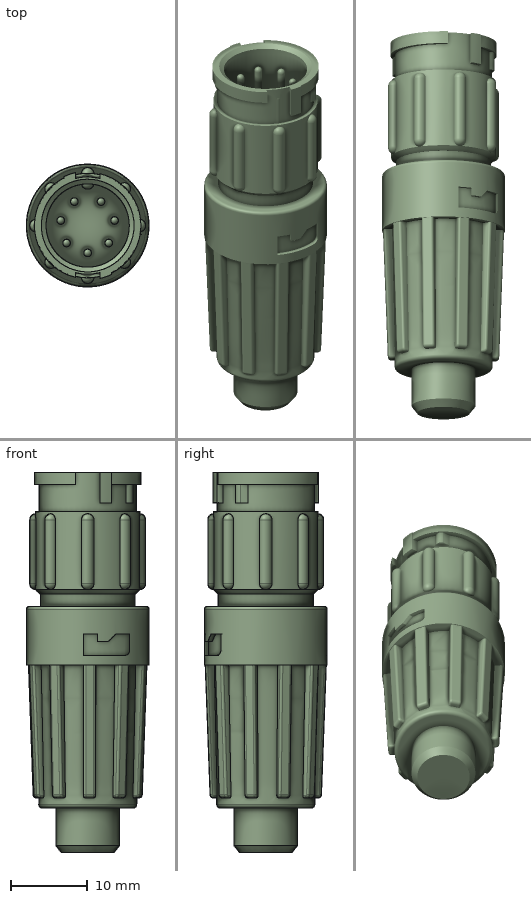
import cadquery as cq
import math


FRONT_ANGLE = -90

TAIL_CHAMFER_TOP = 0.95
GRIP_BOTTOM = 5.8
GRIP_RIB_BOTTOM = 7.15
COLLAR_BOTTOM = 24.45
COLLAR_TOP = 32.15
RING_BOTTOM = 33.75
RING_CHAMFER_TOP = 34.35
RING_TOP = 44.5
LUG_BOTTOM = 45.65
RIM_BOTTOM = 48.0
TOTAL_HEIGHT = 49.6

TAIL_RADIUS = 4.15
TAIL_END_RADIUS = 3.4
GRIP_BOTTOM_RADIUS = 6.4
GRIP_TOP_RADIUS = 6.8
GRIP_BOTTOM_FILLET = 0.5
COLLAR_RADIUS = 16.0 / 2
COLLAR_FILLET = 0.4
LOWER_NECK_RADIUS = 6.2
RING_RADIUS = 13.65 / 2
UPPER_NECK_RADIUS = 6.35
RIM_RADIUS = 6.95

SOCKET_RADIUS = 10.85 / 2
SOCKET_MOUTH_RADIUS = 6.05
SOCKET_MOUTH_DEPTH = 0.45
SOCKET_FLOOR = 41.85
PIN_RADIUS = 0.5
PIN_CIRCLE_RADIUS = 3.55
PIN_PITCH_ANGLE = 50.3
PIN_COUNT = 7
PIN_TOP = 47.55
KEY_RADIUS = 1.65 / 2
KEY_CENTRE_Y = 5.55
KEY_TOP = 48.9

RIM_GAP_HALF_WIDTH = 1.6
LUG_OUTER_X = 3.1
LUG_RADIUS = 7.1
STOP_FLAT_X = 5.9
STOP_FLAT_Y = 3.3
STOP_END_X = 4.95
STOP_END_Y = 3.9
STOP_ROUND_RADIUS = 0.8

RING_RIB_COUNT = 8
RING_RIB_RADIUS = 1.65 / 2
RING_RIB_CENTRE_RADIUS = 6.75
RING_RIB_LOW = 35.1
RING_RIB_HIGH = 43.4

GRIP_RIB_COUNT = 10
GRIP_RIB_PHASE = 2.0
GRIP_RIB_WIDTH = 1.6
GRIP_RIB_INNER_RADIUS = 4.95
GRIP_RIB_BOTTOM_RADIUS = 7.25
GRIP_RIB_TOP_RADIUS = 7.9
GRIP_RIB_FILLET = 0.3
GRIP_RIB_END_FILLET = 0.45

MARK_FLOOR_RADIUS = 7.5
MARK_LEFT = -0.55
MARK_RIGHT = 5.45
MARK_BOTTOM = 25.75
MARK_TOP = 28.55
MARK_NOTCH_BOTTOM = 27.55
MARK_NOTCH_LEFT = 1.3
MARK_NOTCH_RIGHT = 2.7
MARK_NOTCH_TOP_RIGHT = 3.65
MARK_CORNER_FILLET = 0.6


def disc(radius, bottom, top):
    """Round disc on the axis between two heights."""
    return cq.Workplane("XY").workplane(offset=bottom).circle(radius).extrude(top - bottom)


def opposite_pair(shape):
    """The shape together with its copy half a turn around the axis."""
    return shape.union(shape.rotate((0, 0, 0), (0, 0, 1), 180))


def domed_pin(radius, x, y, bottom, top):
    """Upright pin with a hemispherical top."""
    shoulder = top - radius
    dome = cq.Workplane("XY").sphere(radius).translate((0, 0, shoulder))
    return disc(radius, bottom, shoulder).union(dome).translate((x, y, 0))


def make_body():
    """Plain turned body from the cable end to the upper neck."""
    tail_and_grip = (
        cq.Workplane("XZ")
        .moveTo(0, 0)
        .lineTo(TAIL_END_RADIUS, 0)
        .lineTo(TAIL_RADIUS, TAIL_CHAMFER_TOP)
        .lineTo(TAIL_RADIUS, GRIP_BOTTOM)
        .lineTo(GRIP_BOTTOM_RADIUS - GRIP_BOTTOM_FILLET, GRIP_BOTTOM)
        .radiusArc((GRIP_BOTTOM_RADIUS, GRIP_BOTTOM + GRIP_BOTTOM_FILLET), -GRIP_BOTTOM_FILLET)
        .lineTo(GRIP_TOP_RADIUS, COLLAR_BOTTOM)
        .lineTo(0, COLLAR_BOTTOM)
        .close()
        .revolve(360, (0, 0, 0), (0, 1, 0))
    )
    collar = disc(COLLAR_RADIUS, COLLAR_BOTTOM, COLLAR_TOP).faces(">Z").edges().fillet(COLLAR_FILLET)
    lower_neck = disc(LOWER_NECK_RADIUS, COLLAR_TOP, RING_BOTTOM)
    ring_chamfer = RING_CHAMFER_TOP - RING_BOTTOM
    ring = disc(RING_RADIUS, RING_BOTTOM, RING_TOP).faces("<Z").chamfer(ring_chamfer)
    upper_neck = disc(UPPER_NECK_RADIUS, RING_TOP, TOTAL_HEIGHT)
    return tail_and_grip.union(collar).union(lower_neck).union(ring).union(upper_neck)


def make_ring_ribs():
    """Half-round ribs with ball ends around the coupling ring."""
    rib = disc(RING_RIB_RADIUS, RING_RIB_LOW, RING_RIB_HIGH)
    for end_height in (RING_RIB_LOW, RING_RIB_HIGH):
        rib = rib.union(cq.Workplane("XY").sphere(RING_RIB_RADIUS).translate((0, 0, end_height)))
    rib = rib.translate((0, -RING_RIB_CENTRE_RADIUS, 0))
    ribs = cq.Workplane("XY")
    for index in range(RING_RIB_COUNT):
        ribs = ribs.add(rib.rotate((0, 0, 0), (0, 0, 1), index * 360 / RING_RIB_COUNT))
    return ribs


def make_grip_ribs():
    """Tapered ribs around the grip, rounded on their outer edges and lower ends."""
    rib = (
        cq.Workplane("XZ")
        .moveTo(GRIP_RIB_INNER_RADIUS, GRIP_RIB_BOTTOM)
        .lineTo(GRIP_RIB_BOTTOM_RADIUS, GRIP_RIB_BOTTOM)
        .lineTo(GRIP_RIB_TOP_RADIUS, COLLAR_BOTTOM)
        .lineTo(GRIP_RIB_INNER_RADIUS, COLLAR_BOTTOM)
        .close()
        .extrude(GRIP_RIB_WIDTH / 2, both=True)
    )
    rib = rib.faces("<Z").edges(">X").fillet(GRIP_RIB_END_FILLET)
    rib = rib.faces("<Y or >Y").edges("not <X").edges("not >Z").fillet(GRIP_RIB_FILLET)
    ribs = cq.Workplane("XY")
    for index in range(GRIP_RIB_COUNT):
        angle = FRONT_ANGLE + GRIP_RIB_PHASE + index * 360 / GRIP_RIB_COUNT
        ribs = ribs.add(rib.rotate((0, 0, 0), (0, 0, 1), angle))
    return ribs


def make_rim():
    """Bayonet rim with a gap on the front and on the back."""
    gap = cq.Workplane("XY").box(2 * RIM_GAP_HALF_WIDTH, 3 * RIM_RADIUS, 3 * TOTAL_HEIGHT)
    return disc(RIM_RADIUS, RIM_BOTTOM, TOTAL_HEIGHT).cut(gap)


def make_lugs():
    """Upright lugs bordering the rim gaps on one side."""
    column = (
        cq.Workplane("XY")
        .workplane(offset=LUG_BOTTOM)
        .moveTo(RIM_GAP_HALF_WIDTH, 0)
        .rect(LUG_OUTER_X - RIM_GAP_HALF_WIDTH, -LUG_RADIUS, centered=False)
        .extrude(TOTAL_HEIGHT - LUG_BOTTOM)
    )
    return opposite_pair(column.intersect(disc(LUG_RADIUS, LUG_BOTTOM, TOTAL_HEIGHT)))


def make_stops():
    """Stops below the rim, each a flat side running into a round nose."""
    stop = (
        cq.Workplane("XY")
        .workplane(offset=LUG_BOTTOM)
        .lineTo(STOP_FLAT_X, 0)
        .lineTo(STOP_FLAT_X, -STOP_FLAT_Y)
        .radiusArc((STOP_END_X, -STOP_END_Y), STOP_ROUND_RADIUS)
        .close()
        .extrude(RIM_BOTTOM - LUG_BOTTOM)
    )
    return opposite_pair(stop)


def make_socket():
    """Round bore with a conical mouth, as a solid to cut away."""
    mouth_bottom = cq.Vector(0, 0, TOTAL_HEIGHT - SOCKET_MOUTH_DEPTH)
    mouth = cq.Solid.makeCone(SOCKET_RADIUS, SOCKET_MOUTH_RADIUS, SOCKET_MOUTH_DEPTH, mouth_bottom)
    return disc(SOCKET_RADIUS, SOCKET_FLOOR, TOTAL_HEIGHT).union(cq.Workplane(mouth))


def make_mark():
    """Recessed mark on the front of the collar, cut down to a round floor, and its copy on the back."""
    outline = (
        cq.Workplane("XZ")
        .moveTo(MARK_LEFT, MARK_TOP)
        .lineTo(MARK_NOTCH_LEFT, MARK_TOP)
        .lineTo(MARK_NOTCH_LEFT, MARK_NOTCH_BOTTOM)
        .lineTo(MARK_NOTCH_RIGHT, MARK_NOTCH_BOTTOM)
        .lineTo(MARK_NOTCH_TOP_RIGHT, MARK_TOP)
        .lineTo(MARK_RIGHT, MARK_TOP)
        .lineTo(MARK_RIGHT, MARK_BOTTOM)
        .lineTo(MARK_LEFT, MARK_BOTTOM)
        .close()
        .extrude(2 * COLLAR_RADIUS)
        .edges("|Y and >X and <Z")
        .fillet(MARK_CORNER_FILLET)
    )
    return opposite_pair(outline.cut(disc(MARK_FLOOR_RADIUS, COLLAR_BOTTOM, COLLAR_TOP)))


def make_contacts():
    """Key on the back of the socket and the arc of pins centred on the front."""
    contacts = domed_pin(KEY_RADIUS, 0, KEY_CENTRE_Y, SOCKET_FLOOR, KEY_TOP)
    for index in range(PIN_COUNT):
        angle = math.radians(FRONT_ANGLE + PIN_PITCH_ANGLE * (index - (PIN_COUNT - 1) / 2))
        x = PIN_CIRCLE_RADIUS * math.cos(angle)
        y = PIN_CIRCLE_RADIUS * math.sin(angle)
        contacts = contacts.add(domed_pin(PIN_RADIUS, x, y, SOCKET_FLOOR, PIN_TOP))
    return contacts


def join(base, parts):
    """Fuse the parts to the base one at a time."""
    for part in parts.vals():
        base = base.union(cq.Workplane(part))
    return base


result = make_body()
for feature in (make_ring_ribs(), make_grip_ribs(), make_rim(), make_lugs(), make_stops()):
    result = join(result, feature)
result = result.cut(make_socket()).cut(make_mark())
result = join(result, make_contacts())